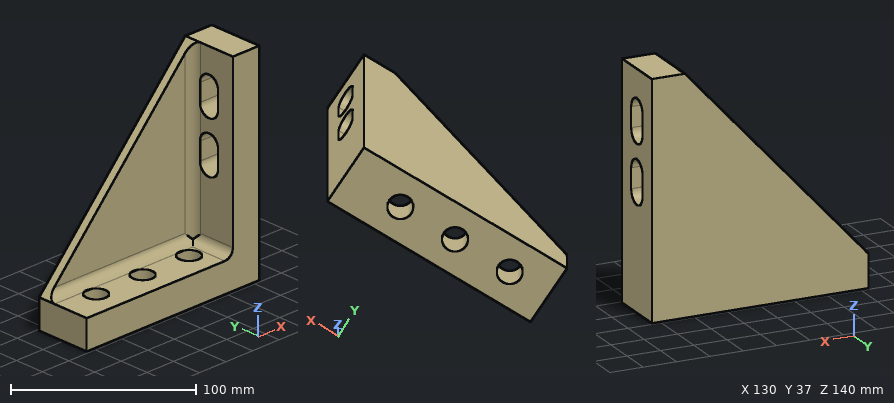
import cadquery as cq

length = 130.0
width = 37.0
height = 140.0
leg_thickness = 20.0
web_thickness = 6.0
fillet_radius = 6.0

hole_diameter = 14.0
first_hole_x = 25.0
first_slot_z = 75.0
spacing = 35.0
hole_count = 3
slot_count = 2
slot_length = 26.0

inner_length = length - leg_thickness
web_face_y = width - web_thickness
center_y = width / 2


def make_pocket():
    """Space between the legs, with three inside roundings that meet in mitres."""
    plain_pocket = (
        cq.Workplane("XY")
        .box(inner_length + width, web_face_y + width, height, centered=False)
        .translate((-width, -width, leg_thickness))
    )
    pocket = plain_pocket
    for inner_edge in (">X and >Y", ">X and <Z", ">Y and <Z"):
        pocket = pocket.intersect(plain_pocket.edges(inner_edge).fillet(fillet_radius))
    return pocket


def make_sloped_cut():
    """Triangular corner removed to leave the sloping edge of the web."""
    return (
        cq.Workplane("XZ")
        .moveTo(0, leg_thickness)
        .lineTo(inner_length, height)
        .lineTo(0, height)
        .close()
        .extrude(-width)
    )


def make_base_holes():
    centers = [(first_hole_x + i * spacing, center_y) for i in range(hole_count)]
    return (
        cq.Workplane("XY")
        .pushPoints(centers)
        .circle(hole_diameter / 2)
        .extrude(leg_thickness)
    )


def make_upright_slots():
    centers = [(center_y, first_slot_z + i * spacing) for i in range(slot_count)]
    return (
        cq.Workplane("YZ", origin=(inner_length, 0, 0))
        .pushPoints(centers)
        .slot2D(slot_length, hole_diameter, 90)
        .extrude(leg_thickness)
    )


block = cq.Workplane("XY").box(length, width, height, centered=False)
bracket = block.cut(make_pocket()).cut(make_sloped_cut())
result = bracket.cut(make_base_holes()).cut(make_upright_slots())